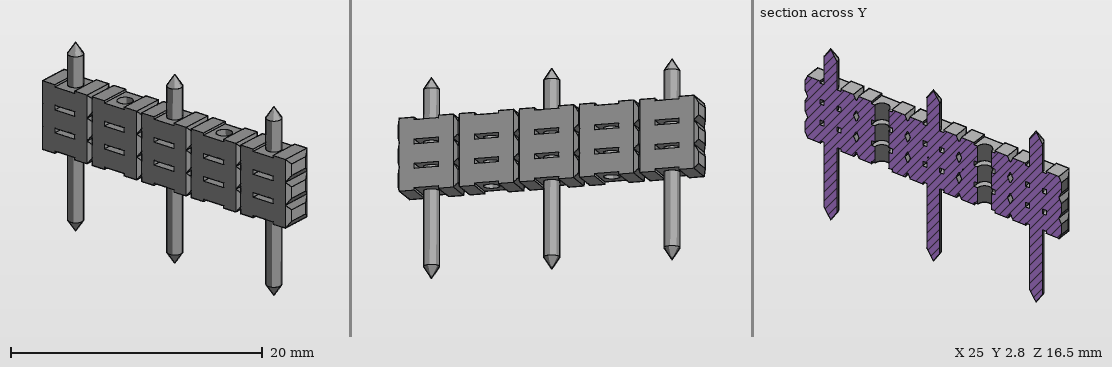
import cadquery as cq

block_count = 5
cells_per_block = 3
strip_length = 25.0
strip_depth = 2.8
cell_height = 2.0
pitch = strip_length / block_count
block_height = cells_per_block * cell_height

pad_rise = 0.25
pad_inset = 0.5
core_width = pitch - 2 * pad_rise

window_width = 2.0
window_height = 0.4

pin_diameter = 1.3
pin_above = 3.5
pin_below = 7.0
tip_height = 1.0
pin_spacing = 2


def end_pad(x_base, z_center, direction):
    """Pyramid frustum on an X-facing side, narrowing away from the block."""
    return (
        cq.Workplane("YZ", origin=(x_base, 0, z_center))
        .rect(strip_depth, cell_height)
        .workplane(offset=direction * pad_rise)
        .rect(strip_depth - 2 * pad_inset, cell_height - 2 * pad_inset)
        .loft(ruled=True)
    )


def block(x_center):
    """One block with end pads, windows and a vertical hole, centred on Z = 0."""
    body = cq.Workplane("XY").box(core_width, strip_depth, block_height)
    for cell in range(cells_per_block):
        z_center = (cell + 0.5) * cell_height - block_height / 2
        for direction in (-1, 1):
            body = body.union(end_pad(direction * core_width / 2, z_center, direction))

    for boundary in range(cells_per_block + 1):
        z_boundary = boundary * cell_height - block_height / 2
        window = cq.Workplane("XY").box(window_width, strip_depth, window_height)
        body = body.cut(window.translate((0, 0, z_boundary)))

    hole = cq.Workplane("XY").circle(pin_diameter / 2).extrude(block_height / 2, both=True)
    return body.cut(hole).translate((x_center, 0, 0))


def pin(x_center):
    """Round pin with a conical point at each end."""
    radius = pin_diameter / 2
    z_top = block_height / 2 + pin_above
    z_bottom = -block_height / 2 - pin_below
    half_profile = [
        (0, z_bottom),
        (radius, z_bottom + tip_height),
        (radius, z_top - tip_height),
        (0, z_top),
    ]
    turned = cq.Workplane("XZ").polyline(half_profile).close().revolve(360, (0, 0), (0, 1))
    return turned.translate((x_center, 0, 0))


block_centers = [(i - (block_count - 1) / 2) * pitch for i in range(block_count)]

result = block(block_centers[0])
for x_center in block_centers[1:]:
    result = result.union(block(x_center))
for x_center in block_centers[::pin_spacing]:
    result = result.union(pin(x_center))